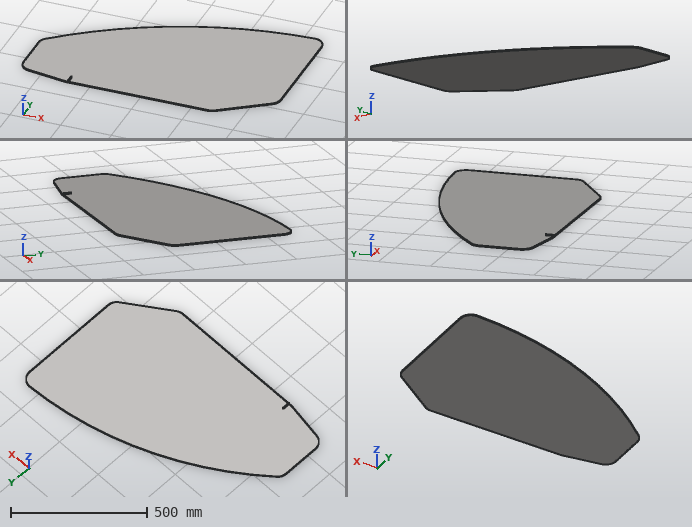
import cadquery as cq
import math

length = 977.0
arc_peak_height = 619.0
thickness = 5.0
corner_radius = 44.0

arc_radius = 1451.0
arc_center_x = length
arc_center_y = arc_peak_height - arc_radius

flat_start_x = 191.5
flat_end_x = 769.0
left_cut_height = 32.0
right_cut_height = 144.0

strip_center_x = 205.0
strip_width = 3.0
strip_length = 31.0
total_height = 10.0


def arc_y(x):
    """Y position of the upper arc at a given x."""
    return arc_center_y + math.sqrt(arc_radius**2 - (x - arc_center_x) ** 2)


def make_panel():
    """Panel outline extruded, with all its corners rounded."""
    return (
        cq.Workplane("XY")
        .moveTo(flat_start_x, 0)
        .lineTo(flat_end_x, 0)
        .lineTo(length, right_cut_height)
        .lineTo(length, arc_y(length))
        .threePointArc((length / 2, arc_y(length / 2)), (0, arc_y(0)))
        .lineTo(0, left_cut_height)
        .close()
        .extrude(thickness)
        .edges("|Z")
        .fillet(corner_radius)
    )


def make_strip():
    """Raised strip running inward from the lower edge."""
    return (
        cq.Workplane("XY")
        .center(strip_center_x, 0)
        .box(strip_width, strip_length, total_height, centered=(True, False, False))
    )


result = make_panel().union(make_strip())